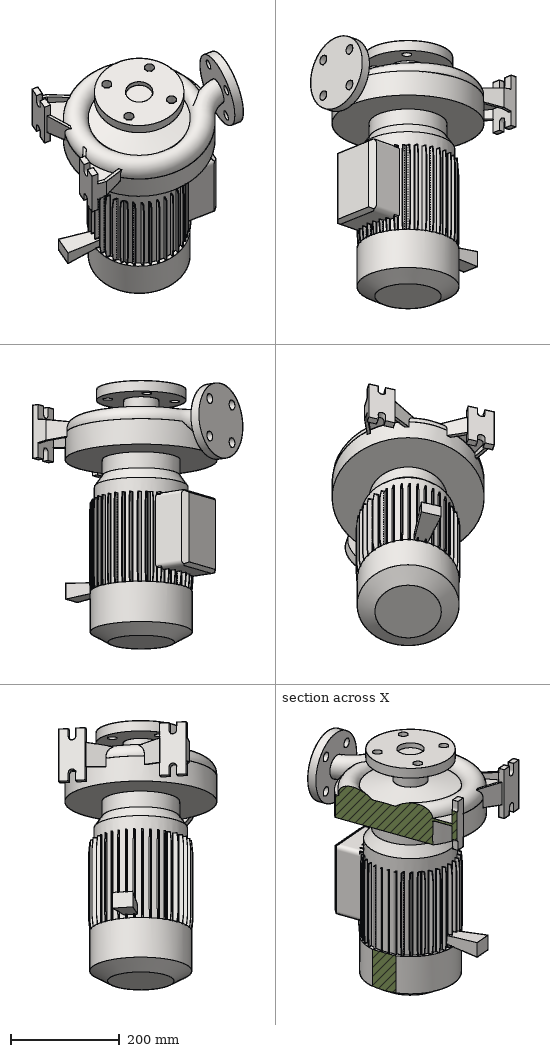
import cadquery as cq
import math


suction_face_z = 80
suction_flange_radius = 82.5
suction_flange_thickness = 20
suction_neck_radius = 32.5
suction_bore_radius = 25
suction_bore_depth = 10
suction_bolt_circle_radius = 62.5

discharge_face_y = 180
discharge_flange_radius = 70
discharge_flange_thickness = 18
discharge_bolt_circle_radius = 50

flange_bolt_count = 4
flange_bolt_hole_diameter = 18
flange_bolt_start_angle = 45

volute_ring_radius = 116.5
volute_tube_radius = 23.5
volute_end_tube_radius = 17
volute_taper_start_angle = 180
volute_end_angle = 60
volute_taper_sections = 5
casing_radius = volute_ring_radius + volute_tube_radius
casing_top_z = -4
casing_bottom_z = -52
cover_inner_z = 17
cover_outer_z = 4
cover_outer_radius = 105

adapter_radius = 71.8
adapter_bottom_z = -82
motor_radius = 86.5
motor_shoulder_z = -103
fins_top_z = -130
fins_bottom_z = -300
fan_cover_radius = 94
fan_cover_edge_z = -376
motor_end_z = -395
fan_cover_end_slope = 60

fin_layout = ((7.5, 95.7), (22.5, 93), (36, 88.5), (49.5, 81), (60, 70.5))
fin_thickness = 2
fin_root = 50
fin_end_drop = 2
fin_end_length = 20

box_outer_y = 138
box_half_width = 52
box_top_z = -131
box_bottom_z = -274
box_corner_radius = 9
box_bevel_depth = 10
box_bevel_side = 10
box_bevel_end = 6

support_outer_y = -157.5
support_width = 38
support_height = 30
support_center_z = -283
support_taper = 5
support_length = 75

foot_center_x = 95
foot_width = 50
foot_height = 100
foot_face_y = -160
foot_thickness = 12
foot_slot_width = 14
foot_slot_spacing = 70

rib_thickness = 6
rib_half_height = 24
rib_slope = 8.5
rib_kink_y = -130
outer_rib_angle = 23
inner_rib_angle = 30
rib_end_y = -85
inner_rib_length = 45
web_thickness = 6


def prism(outline, half_height):
    """Extrude an XY outline equally above and below Z = 0."""
    return cq.Workplane("XY").polyline(outline).close().extrude(half_height, both=True)


def make_turned_body():
    """Suction flange, neck, casing, adapter, motor and fan cover in one revolution."""
    fan_cover_end_radius = fan_cover_radius - (fan_cover_edge_z - motor_end_z) * math.tan(
        math.radians(fan_cover_end_slope)
    )
    flange_back_z = suction_face_z - suction_flange_thickness
    profile = [
        (0, suction_face_z),
        (suction_flange_radius, suction_face_z),
        (suction_flange_radius, flange_back_z),
        (suction_neck_radius, flange_back_z),
        (suction_neck_radius, cover_inner_z),
        (cover_outer_radius, cover_outer_z),
        (cover_outer_radius, casing_top_z),
        (casing_radius, casing_top_z),
        (casing_radius, casing_bottom_z),
        (adapter_radius, casing_bottom_z),
        (adapter_radius, adapter_bottom_z),
        (motor_radius, motor_shoulder_z),
        (motor_radius, fins_bottom_z),
        (fan_cover_radius, fins_bottom_z),
        (fan_cover_radius, fan_cover_edge_z),
        (fan_cover_end_radius, motor_end_z),
        (0, motor_end_z),
    ]
    return cq.Workplane("XZ").polyline(profile).close().revolve(360, (0, 0), (0, 1))


def cut_suction_openings(body):
    """Blind bore and through bolt holes in the suction flange."""
    bore = (
        cq.Workplane("XY")
        .workplane(offset=suction_face_z)
        .circle(suction_bore_radius)
        .extrude(-suction_bore_depth)
    )
    holes = (
        cq.Workplane("XY")
        .workplane(offset=suction_face_z)
        .polarArray(suction_bolt_circle_radius, flange_bolt_start_angle, 360, flange_bolt_count)
        .circle(flange_bolt_hole_diameter / 2)
        .extrude(-suction_flange_thickness)
    )
    return body.cut(bore).cut(holes)


def volute_section(angle, ring_radius, tube_radius):
    """Circular wire across the volute at an angle around Z."""
    across = math.cos(math.radians(angle))
    along = math.sin(math.radians(angle))
    center = cq.Vector(ring_radius * across, ring_radius * along, 0)
    tangent = cq.Vector(-along, across, 0)
    return cq.Wire.makeCircle(tube_radius, center, tangent)


def make_volute():
    """Ring tube that narrows towards its end and leaves along an S-bend to the discharge."""
    bend_radius = (discharge_face_y**2 - volute_ring_radius**2) / (2 * volute_ring_radius)
    outlet_angle = math.degrees(math.acos(bend_radius / (volute_ring_radius + bend_radius)))

    sweep_angle = outlet_angle + 360 - volute_taper_start_angle
    ring = (
        cq.Workplane("XZ")
        .center(-volute_ring_radius, 0)
        .circle(volute_tube_radius)
        .revolve(sweep_angle, (volute_ring_radius, 0), (volute_ring_radius, 1))
    )
    sections = []
    inner_radius = volute_ring_radius - volute_tube_radius
    for i in range(volute_taper_sections):
        share = i / (volute_taper_sections - 1)
        angle = volute_taper_start_angle + share * (volute_end_angle - volute_taper_start_angle)
        tube_radius = volute_tube_radius + share * (volute_end_tube_radius - volute_tube_radius)
        sections.append(volute_section(angle, inner_radius + tube_radius, tube_radius))
    taper = cq.Workplane(cq.Solid.makeLoft(sections))

    bend = (
        cq.Workplane("XZ", origin=(0, discharge_face_y, 0))
        .circle(volute_tube_radius)
        .revolve(outlet_angle, (bend_radius, 0), (bend_radius, 1))
    )
    return ring.union(taper).union(bend)


def make_discharge_flange():
    """Drilled disc at the +Y end."""
    flange = (
        cq.Workplane("XZ", origin=(0, discharge_face_y, 0))
        .circle(discharge_flange_radius)
        .extrude(discharge_flange_thickness)
    )
    holes = (
        cq.Workplane("XZ", origin=(0, discharge_face_y, 0))
        .polarArray(discharge_bolt_circle_radius, flange_bolt_start_angle, 360, flange_bolt_count)
        .circle(flange_bolt_hole_diameter / 2)
        .extrude(discharge_flange_thickness)
    )
    return flange.cut(holes)


def make_fin(offset, reach):
    """One fin on the +X side, with both ends of its outer edge sloped back."""
    outline = [
        (fin_root, fins_top_z),
        (reach - fin_end_drop, fins_top_z),
        (reach, fins_top_z - fin_end_length),
        (reach, fins_bottom_z + fin_end_length),
        (reach - fin_end_drop, fins_bottom_z),
        (fin_root, fins_bottom_z),
    ]
    return (
        cq.Workplane("XZ", origin=(0, offset, 0))
        .polyline(outline)
        .close()
        .extrude(fin_thickness / 2, both=True)
    )


def add_fins(body):
    """Add the same group of parallel fins on all four sides of the motor."""
    for offset, reach in fin_layout:
        for side in (-1, 1):
            fin = make_fin(side * offset, reach)
            for turn in range(4):
                body = body.union(fin.rotate((0, 0, 0), (0, 0, 1), 90 * turn))
    return body


def make_terminal_box():
    """Box on the +Y side of the motor, with rounded long edges and a bevelled cover."""
    height = box_top_z - box_bottom_z
    bevel_y = box_outer_y - box_bevel_depth
    center_z = (box_top_z + box_bottom_z) / 2
    rounded = (
        cq.Workplane("XZ", origin=(0, 0, center_z))
        .rect(2 * box_half_width, height)
        .extrude(-box_outer_y)
        .edges("|Y")
        .fillet(box_corner_radius)
    )
    front_half_width = box_half_width - box_bevel_side
    plan = [
        (-box_half_width, 0),
        (-box_half_width, bevel_y),
        (-front_half_width, box_outer_y),
        (front_half_width, box_outer_y),
        (box_half_width, bevel_y),
        (box_half_width, 0),
    ]
    plan_prism = cq.Workplane("XY", origin=(0, 0, box_bottom_z)).polyline(plan).close().extrude(height)
    side = [
        (0, box_bottom_z),
        (bevel_y, box_bottom_z),
        (box_outer_y, box_bottom_z + box_bevel_end),
        (box_outer_y, box_top_z - box_bevel_end),
        (bevel_y, box_top_z),
        (0, box_top_z),
    ]
    side_prism = cq.Workplane("YZ").polyline(side).close().extrude(box_half_width, both=True)
    return rounded.intersect(plan_prism).intersect(side_prism)


def make_motor_support():
    """Block on the -Y side of the motor that narrows towards the shaft."""
    return (
        cq.Workplane("XZ", origin=(0, support_outer_y, support_center_z))
        .rect(support_width, support_height)
        .extrude(-support_length, taper=support_taper)
    )


def make_foot_plate():
    """Mounting plate with an open slot in its top and bottom edges."""
    plate = cq.Workplane("XY").box(foot_width, foot_thickness, foot_height)
    for end in (-1, 1):
        slot_z = end * foot_slot_spacing / 2
        slot = (
            cq.Workplane("XZ")
            .center(0, slot_z + end * foot_height / 2)
            .slot2D(foot_height + foot_slot_width, foot_slot_width, 90)
            .extrude(foot_thickness, both=True)
        )
        plate = plate.cut(slot)
    return plate.translate((foot_center_x, foot_face_y + foot_thickness / 2, 0))


def make_foot():
    """Slotted plate on the +X side, with two ribs and a web that join it to the casing."""
    plate_back_y = foot_face_y + foot_thickness
    outer_x = foot_center_x + foot_width / 2
    inner_x = foot_center_x - foot_width / 2
    outer_run = (rib_end_y - rib_kink_y) * math.tan(math.radians(outer_rib_angle))
    outer_gap = rib_thickness / math.cos(math.radians(outer_rib_angle))
    inner_kink_y = rib_kink_y - rib_thickness * math.tan(math.radians(outer_rib_angle / 2))
    inner_slope = math.tan(math.radians(inner_rib_angle))
    inner_gap = rib_thickness / math.cos(math.radians(inner_rib_angle))
    inner_end_x = inner_x - inner_rib_length
    inner_end_y = plate_back_y + inner_rib_length * inner_slope

    outer_rib = [
        (outer_x, plate_back_y),
        (outer_x, rib_kink_y),
        (outer_x - outer_run, rib_end_y),
        (outer_x - outer_run - outer_gap, rib_end_y),
        (outer_x - rib_thickness, inner_kink_y),
        (outer_x - rib_thickness, plate_back_y),
    ]
    inner_rib = [
        (inner_x, plate_back_y),
        (inner_end_x, inner_end_y),
        (inner_end_x, inner_end_y - inner_gap),
        (inner_x, plate_back_y - inner_gap),
    ]
    web = [
        (outer_x, plate_back_y),
        (outer_x, rib_kink_y),
        (outer_x - outer_run, rib_end_y),
        (inner_end_x, inner_end_y),
        (inner_x, plate_back_y),
    ]

    ribs = prism(outer_rib, foot_height / 2).union(prism(inner_rib, foot_height / 2))
    end_half_height = rib_half_height - (rib_end_y - foot_face_y) * math.tan(math.radians(rib_slope))
    side = [
        (foot_face_y, rib_half_height),
        (rib_end_y, end_half_height),
        (rib_end_y, -end_half_height),
        (foot_face_y, -rib_half_height),
    ]
    ribs = ribs.intersect(cq.Workplane("YZ").polyline(side).close().extrude(outer_x))
    return make_foot_plate().union(ribs).union(prism(web, web_thickness / 2))


foot = make_foot()

result = add_fins(make_turned_body())
result = result.union(make_terminal_box())
result = result.union(make_motor_support())
result = result.union(foot).union(foot.mirror("YZ"))
result = result.union(make_volute())
result = result.union(make_discharge_flange())
result = cut_suction_openings(result)